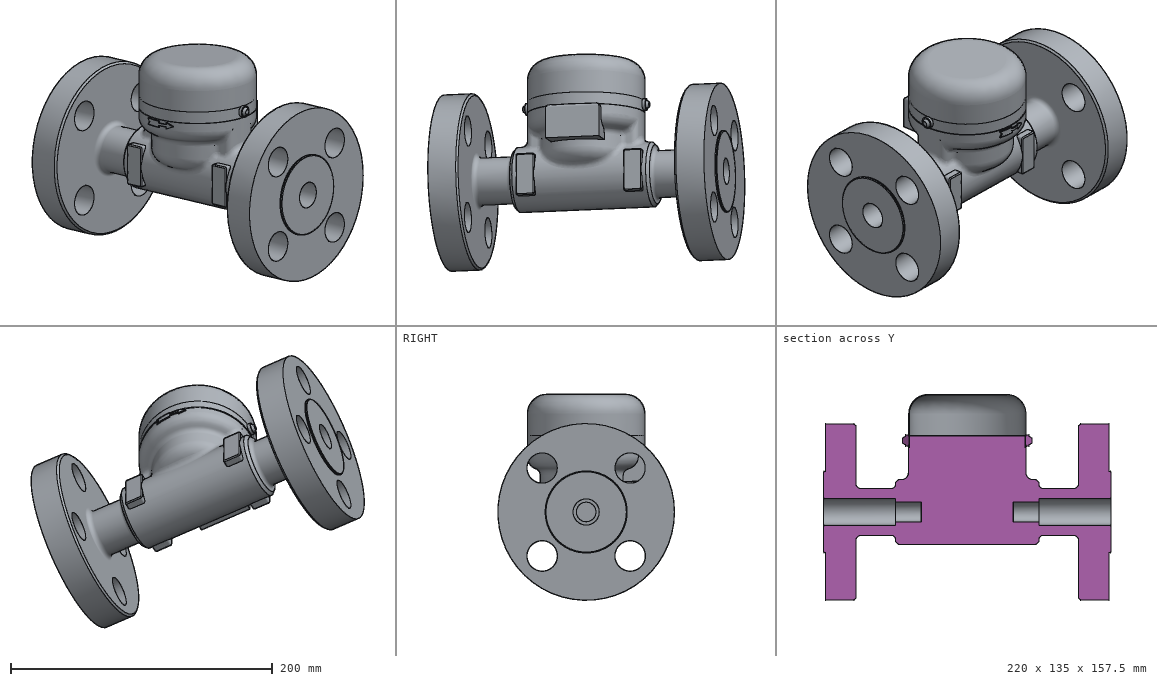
import cadquery as cq
import math

HALF_LENGTH = 110.0

FLANGE_DIA = 135.0
FLANGE_OUTER_X = 108.5
FLANGE_INNER_X = 85.0
FLANGE_CHAMFER = 1.5
RAISED_FACE_DIA = 62.7
RAISED_FACE_CHAMFER = 0.7
BOLT_HOLE_DIA = 23.0
BOLT_CIRCLE_DIA = 95.0
BOLT_COUNT = 4
BOLT_START_ANGLE = 45.0
NOZZLE_DIA = 36.0
FLANGE_NECK_FILLET = 4.0
NOZZLE_ROOT_FILLET = 3.0
BORE_DIA = 20.0
PORT_DIA = 15.0

TUBE_DIA = 50.0
TUBE_HALF_LENGTH = 55.0
TUBE_END_CHAMFER = 2.5

PAD_INNER_X = 35.0
PAD_OUTER_X = 49.5
PAD_HEIGHT = 32.1
PAD_FACE_Y = 25.3
PAD_CORNER_RADIUS = 1.8
PAD_CHAMFER = 0.9
PAD_DEPTH = 13.2

CAP_DIA = 90.0
SPIGOT_DIA = 88.7
CAP_TOP_Z = 90.0
RIM_TOP_Z = 49.3
SPIGOT_TOP_Z = 58.3
RIM_BOTTOM_Z = 42.2
NECK_TOP_Z = 28.2
NECK_DIA = 70.5
SHOULDER_RADIUS = 10.0
BOTTOM_RADIUS = 11.5
BOTTOM_EDGE_Z = 17.5
CAP_TOP_RADIUS = 15.0

WEB_WIDTH = 28.5
WEB_CORNER_RADIUS = 5.0
BLEND_RADIUS = 4.8
WEB_SIDE_END_X = 42.2
CORNER_MARGIN = 2.2

LUG_WIDTH = 41.8
LUG_FACE_Y = 46.5
LUG_BOTTOM_Z = 23.3
LUG_TOP_RADIUS = 2.6

ARROW_LENGTH = 24.9
ARROW_HEIGHT = 5.0
ARROW_SHAFT_HEIGHT = 2.0
ARROW_HEAD_LENGTH = 5.7
ARROW_TAIL_LENGTH = 12.0
ARROW_NOTCH = 1.8
ARROW_FACE_RADIUS = 46.0
ARROW_Z = 45.8

SCREW_Z = 54.5
SCREW_HEAD_DIA = 9.0
SCREW_SHOULDER_X = 47.3
SCREW_TIP_X = 49.5
SCREW_CROWN_DIA = 7.0
SCREW_TIP_DIA = 4.0

CAP_RADIUS = CAP_DIA / 2
NECK_RADIUS = NECK_DIA / 2


def x_cylinder(diameter, x_start, x_end):
    return cq.Workplane("YZ").workplane(offset=x_start).circle(diameter / 2).extrude(x_end - x_start)


def z_cylinder(diameter, z_start, z_end):
    return cq.Workplane("XY").workplane(offset=z_start).circle(diameter / 2).extrude(z_end - z_start)


def block(x_start, x_end, y_start, y_end, z_start, z_end):
    size = (x_end - x_start, y_end - y_start, z_end - z_start)
    return cq.Workplane("XY").box(*size, centered=False).translate((x_start, y_start, z_start))


def make_neck():
    """Neck cylinder with a rounded bottom that sinks into the flow tube."""
    neck = z_cylinder(NECK_DIA, BOTTOM_EDGE_Z - BOTTOM_RADIUS, RIM_BOTTOM_Z)
    return neck.faces("<Z").edges().fillet(BOTTOM_RADIUS)


def make_shoulder():
    """Spigot, rim and S-shaped shoulder above the neck, turned about Z."""
    step = CAP_RADIUS - NECK_RADIUS
    drop = RIM_BOTTOM_Z - NECK_TOP_Z
    radius_sum = (step ** 2 + drop ** 2) / (2 * step)
    groove_radius = radius_sum - SHOULDER_RADIUS
    turn = math.acos(1 - step / radius_sum)

    def shoulder_point(angle):
        return (
            CAP_RADIUS - SHOULDER_RADIUS * (1 - math.cos(angle)),
            RIM_BOTTOM_Z - SHOULDER_RADIUS * math.sin(angle),
        )

    def groove_point(angle):
        return (
            NECK_RADIUS + groove_radius * (1 - math.cos(angle)),
            NECK_TOP_Z + groove_radius * math.sin(angle),
        )

    return (
        cq.Workplane("XZ")
        .moveTo(0, NECK_TOP_Z)
        .lineTo(NECK_RADIUS, NECK_TOP_Z)
        .threePointArc(groove_point(turn / 2), groove_point(turn))
        .threePointArc(shoulder_point(turn / 2), (CAP_RADIUS, RIM_BOTTOM_Z))
        .lineTo(CAP_RADIUS, RIM_TOP_Z)
        .lineTo(SPIGOT_DIA / 2, RIM_TOP_Z)
        .lineTo(SPIGOT_DIA / 2, SPIGOT_TOP_Z)
        .lineTo(0, SPIGOT_TOP_Z)
        .close()
        .revolve(360, (0, 0, 0), (0, 1, 0))
    )


def make_webs():
    """One upright slab through the chamber, its ends following the rim cylinder."""
    half_width = WEB_WIDTH / 2
    slab = block(-CAP_RADIUS, CAP_RADIUS, -half_width, half_width, 0, RIM_BOTTOM_Z)
    webs = slab.intersect(z_cylinder(CAP_DIA, 0, RIM_BOTTOM_Z))
    return webs.edges("|Z").fillet(WEB_CORNER_RADIUS)


def make_tube():
    tube = x_cylinder(TUBE_DIA, -TUBE_HALF_LENGTH, TUBE_HALF_LENGTH)
    return tube.faces("<X or >X").chamfer(TUBE_END_CHAMFER)


def make_blended_core():
    """Neck, webs and tube, with their inner corners rounded."""
    core = make_neck().union(make_webs())
    corner_x = math.sqrt(NECK_RADIUS ** 2 - (WEB_WIDTH / 2) ** 2)
    corner_zone = cq.selectors.BoxSelector(
        (-corner_x - CORNER_MARGIN, -NECK_RADIUS, BOTTOM_EDGE_Z),
        (corner_x + CORNER_MARGIN, NECK_RADIUS, RIM_BOTTOM_Z - CORNER_MARGIN),
    )
    core = core.edges("|Z").edges(corner_zone).fillet(BLEND_RADIUS)
    core = core.union(make_tube())
    foot_zone = cq.selectors.BoxSelector(
        (-CAP_RADIUS, -NECK_RADIUS, 0),
        (CAP_RADIUS, NECK_RADIUS, TUBE_DIA / 2),
    )
    return core.edges(foot_zone).fillet(BLEND_RADIUS)


def make_pad(x_side, y_side):
    pad = block(PAD_INNER_X, PAD_OUTER_X, PAD_FACE_Y - PAD_DEPTH, PAD_FACE_Y, -PAD_HEIGHT / 2, PAD_HEIGHT / 2)
    pad = pad.edges("|Y").fillet(PAD_CORNER_RADIUS).faces(">Y").chamfer(PAD_CHAMFER)
    if x_side < 0:
        pad = pad.mirror("YZ")
    if y_side < 0:
        pad = pad.mirror("XZ")
    return pad


def make_lug():
    half_width = LUG_WIDTH / 2
    lug = block(-half_width, half_width, 0, LUG_FACE_Y, LUG_BOTTOM_Z, RIM_TOP_Z)
    return lug.faces(">Z").edges("not <Y").fillet(LUG_TOP_RADIUS)


def make_arrow():
    """Flow arrow on the rim, pointing along +X, with a notched tail and a curved face."""
    tail_x = -ARROW_LENGTH / 2
    tip_x = ARROW_LENGTH / 2
    head_x = tip_x - ARROW_HEAD_LENGTH
    body_x = tail_x + ARROW_TAIL_LENGTH
    half = ARROW_HEIGHT / 2
    shaft = ARROW_SHAFT_HEIGHT / 2
    outline = (
        cq.Workplane("XZ")
        .polyline([
            (tail_x, half), (body_x, half), (body_x, shaft), (head_x, shaft), (head_x, half),
            (tip_x, 0),
            (head_x, -half), (head_x, -shaft), (body_x, -shaft), (body_x, -half), (tail_x, -half),
            (tail_x + ARROW_NOTCH, 0),
        ])
        .close()
        .extrude(CAP_DIA)
        .translate((0, 0, ARROW_Z))
    )
    return outline.intersect(z_cylinder(2 * ARROW_FACE_RADIUS, RIM_BOTTOM_Z, RIM_TOP_Z))


def make_flanged_nozzle():
    """Nozzle, flange and raised face on the +X side, turned about X."""
    nozzle_radius = NOZZLE_DIA / 2
    flange_radius = FLANGE_DIA / 2
    face_radius = RAISED_FACE_DIA / 2
    root_sag = NOZZLE_ROOT_FILLET * (1 - math.sqrt(0.5))
    neck_sag = FLANGE_NECK_FILLET * (1 - math.sqrt(0.5))
    nozzle = (
        cq.Workplane("XY")
        .moveTo(TUBE_HALF_LENGTH, 0)
        .lineTo(TUBE_HALF_LENGTH, nozzle_radius + NOZZLE_ROOT_FILLET)
        .threePointArc(
            (TUBE_HALF_LENGTH + root_sag, nozzle_radius + root_sag),
            (TUBE_HALF_LENGTH + NOZZLE_ROOT_FILLET, nozzle_radius),
        )
        .lineTo(FLANGE_INNER_X - FLANGE_NECK_FILLET, nozzle_radius)
        .threePointArc(
            (FLANGE_INNER_X - neck_sag, nozzle_radius + neck_sag),
            (FLANGE_INNER_X, nozzle_radius + FLANGE_NECK_FILLET),
        )
        .lineTo(FLANGE_INNER_X, flange_radius - FLANGE_CHAMFER)
        .lineTo(FLANGE_INNER_X + FLANGE_CHAMFER, flange_radius)
        .lineTo(FLANGE_OUTER_X, flange_radius)
        .lineTo(FLANGE_OUTER_X, face_radius)
        .lineTo(HALF_LENGTH - RAISED_FACE_CHAMFER, face_radius)
        .lineTo(HALF_LENGTH, face_radius - RAISED_FACE_CHAMFER)
        .lineTo(HALF_LENGTH, 0)
        .close()
        .revolve(360, (0, 0, 0), (1, 0, 0))
    )
    bolt_holes = (
        cq.Workplane("YZ")
        .workplane(offset=FLANGE_INNER_X)
        .polarArray(BOLT_CIRCLE_DIA / 2, BOLT_START_ANGLE, 360, BOLT_COUNT)
        .circle(BOLT_HOLE_DIA / 2)
        .extrude(HALF_LENGTH - FLANGE_INNER_X)
    )
    return nozzle.cut(bolt_holes)


def make_passage():
    """Stepped bore on the +X side, ending under the chamber neck."""
    bore = x_cylinder(BORE_DIA, TUBE_HALF_LENGTH, HALF_LENGTH)
    return bore.union(x_cylinder(PORT_DIA, NECK_RADIUS, TUBE_HALF_LENGTH))


def make_housing():
    housing = make_blended_core().union(make_shoulder())
    web_top_zone = cq.selectors.BoxSelector(
        (-WEB_SIDE_END_X, -WEB_WIDTH, NECK_TOP_Z),
        (WEB_SIDE_END_X, WEB_WIDTH, RIM_BOTTOM_Z),
    )
    housing = housing.edges(web_top_zone).fillet(BLEND_RADIUS)
    for x_side in (-1, 1):
        for y_side in (-1, 1):
            housing = housing.union(make_pad(x_side, y_side))
    housing = housing.union(make_lug()).union(make_arrow())
    nozzle = make_flanged_nozzle()
    passage = make_passage()
    housing = housing.union(nozzle).union(nozzle.mirror("YZ"))
    return housing.cut(passage).cut(passage.mirror("YZ"))


def make_cap():
    """Thin domed cover that slips over the spigot and rests on the rim."""
    wall = (CAP_DIA - SPIGOT_DIA) / 2
    outside = z_cylinder(CAP_DIA, RIM_TOP_Z, CAP_TOP_Z).edges(">Z").fillet(CAP_TOP_RADIUS)
    inside = z_cylinder(SPIGOT_DIA, RIM_TOP_Z, CAP_TOP_Z - wall).edges(">Z").fillet(CAP_TOP_RADIUS - wall)
    return outside.cut(inside)


def make_screw(x_side):
    """Screw head seated on the cap wall, with a tapered crown."""
    screw = (
        cq.Workplane("XY")
        .polyline([
            (SPIGOT_DIA / 2, 0),
            (SPIGOT_DIA / 2, SCREW_HEAD_DIA / 2),
            (SCREW_SHOULDER_X, SCREW_HEAD_DIA / 2),
            (SCREW_SHOULDER_X, SCREW_CROWN_DIA / 2),
            (SCREW_TIP_X, SCREW_TIP_DIA / 2),
            (SCREW_TIP_X, 0),
        ])
        .close()
        .revolve(360, (0, 0, 0), (1, 0, 0))
        .translate((0, 0, SCREW_Z))
        .cut(z_cylinder(CAP_DIA, RIM_TOP_Z, CAP_TOP_Z))
    )
    return screw if x_side > 0 else screw.mirror("YZ")


housing = make_housing()
cap = make_cap()
screws = [make_screw(x_side) for x_side in (-1, 1)]

result = cq.Compound.makeCompound([housing.val(), cap.val(), *[screw.val() for screw in screws]])